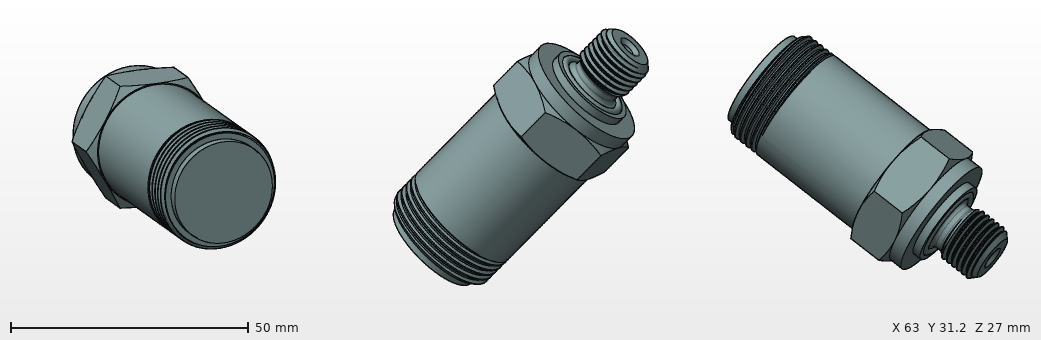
import cadquery as cq
import math


relief_end_x = 9.75
shoulder_x = 12.05
flange_x = 13.9
hex_start_x = 17.0
hex_end_x = 27.1
rear_thread_x = 53.4
plug_x = 61.1
total_length = 63.0

port_major_dia = 13.15
port_root_dia = 11.45
port_pitch = 1.335
port_flank_angle = 27.5
port_root_flat = 0.225
port_groove_x = 1.4
port_tip_dia = 10.0
neck_dia = 11.0
relief_radius = 0.535
neck_fillet = 1.1

bore_dia = 3.3
bore_depth = 12.6
countersink_dia = 5.15

shoulder_dia = 19.0
hex_across_flats = 27.0
flange_dia = hex_across_flats
hex_chamfer_angle = 30.0
housing_dia = 26.5
plug_dia = 22.4

rear_root_dia = 25.15
rear_pitch = 1.5
rear_flank_angle = 30.0
rear_root_flat = 0.4
rear_groove_x = 57.6
rear_chamfer = 0.75

seal_outer_dia = 16.7
seal_protrusion = 0.5
seal_inner_radius = neck_dia / 2 + neck_fillet
seal_tube_radius = (seal_outer_dia / 2 - seal_inner_radius) / 2
seal_ring_radius = seal_inner_radius + seal_tube_radius
seal_center_x = shoulder_x - seal_protrusion + seal_tube_radius

cutter_overrun = 0.05


def rod(start_x, end_x, diameter):
    """Cylinder on the X axis."""
    return cq.Workplane("YZ", origin=(start_x, 0, 0)).circle(diameter / 2).extrude(end_x - start_x)


def groove_turn(pitch, major_dia, root_dia, flank_angle, root_flat):
    """One right-handed turn of thread groove on the X axis, starting at X = 0 on the -Z side."""
    root_radius = root_dia / 2
    outer_radius = major_dia / 2 + cutter_overrun
    root_half = root_flat / 2
    outer_half = root_half + (outer_radius - root_radius) * math.tan(math.radians(flank_angle))
    turn = (
        cq.Workplane("XZ")
        .polyline([
            (root_radius, -root_half),
            (outer_radius, -outer_half),
            (outer_radius, outer_half),
            (root_radius, root_half),
        ])
        .close()
        .sweep(cq.Workplane(cq.Wire.makeHelix(pitch, pitch, root_radius)), isFrenet=True)
    )
    return turn.rotate((0, 0, 0), (0, 1, 0), 90)


def cut_thread(blank, turn, start_x, end_x, groove_x, pitch):
    """Cut end-to-end groove turns that cover start_x to end_x and pass groove_x on the +Z side."""
    lower_groove_x = groove_x + pitch / 2
    first_x = lower_groove_x - pitch * math.ceil((lower_groove_x - start_x) / pitch)
    for index in range(math.ceil((end_x - first_x) / pitch)):
        blank = blank.cut(turn.translate((first_x + index * pitch, 0, 0)), clean=False)
    return blank


def port_stub():
    """Threaded port with tip chamfer, run-out cone, neck and filleted shoulder."""
    major_radius = port_major_dia / 2
    tip_radius = port_tip_dia / 2
    neck_radius = neck_dia / 2
    diagonal = math.sqrt(0.5)
    cone_end_x = relief_end_x - relief_radius * diagonal
    cone_end_radius = neck_radius + relief_radius * (1 - diagonal)
    cone_start_x = cone_end_x - (major_radius - cone_end_radius)
    relief_mid_angle = math.radians(22.5)
    relief_mid = (
        relief_end_x - relief_radius * math.sin(relief_mid_angle),
        neck_radius + relief_radius * (1 - math.cos(relief_mid_angle)),
    )
    fillet_start_x = shoulder_x - neck_fillet
    fillet_mid = (
        fillet_start_x + neck_fillet * diagonal,
        neck_radius + neck_fillet * (1 - diagonal),
    )
    blank = (
        cq.Workplane("XY")
        .moveTo(0, 0)
        .lineTo(0, tip_radius)
        .lineTo(major_radius - tip_radius, major_radius)
        .lineTo(cone_start_x, major_radius)
        .lineTo(cone_end_x, cone_end_radius)
        .threePointArc(relief_mid, (relief_end_x, neck_radius))
        .lineTo(fillet_start_x, neck_radius)
        .threePointArc(fillet_mid, (shoulder_x, neck_radius + neck_fillet))
        .lineTo(shoulder_x, 0)
        .close()
        .revolve(360, (0, 0, 0), (1, 0, 0))
    )
    turn = groove_turn(port_pitch, port_major_dia, port_root_dia, port_flank_angle, port_root_flat)
    return cut_thread(blank, turn, 0, cone_end_x, port_groove_x, port_pitch)


def hexagon():
    """Wrench hexagon with its corners on Y, chamfered at both ends down to the flats."""
    length = hex_end_x - hex_start_x
    across_corners = hex_across_flats / math.cos(math.radians(30))
    prism = cq.Workplane("YZ", origin=(hex_start_x, 0, 0)).polygon(6, across_corners).extrude(length)
    flat_radius = hex_across_flats / 2
    corner_radius = across_corners / 2
    chamfer_length = (corner_radius - flat_radius) * math.tan(math.radians(hex_chamfer_angle))
    envelope = (
        cq.Workplane("XY")
        .polyline([
            (hex_start_x, 0),
            (hex_start_x, flat_radius),
            (hex_start_x + chamfer_length, corner_radius),
            (hex_end_x - chamfer_length, corner_radius),
            (hex_end_x, flat_radius),
            (hex_end_x, 0),
        ])
        .close()
        .revolve(360, (0, 0, 0), (1, 0, 0))
    )
    return prism.intersect(envelope)


def rear_thread():
    """Threaded rear end of the housing, chamfered at its outer end."""
    blank = rod(rear_thread_x, plug_x, housing_dia).faces(">X").chamfer(rear_chamfer)
    turn = groove_turn(rear_pitch, housing_dia, rear_root_dia, rear_flank_angle, rear_root_flat)
    return cut_thread(
        blank, turn, rear_thread_x - rear_pitch, plug_x + rear_pitch / 2, rear_groove_x, rear_pitch
    )


def seal_groove():
    """Square-bottomed face groove that holds the O-ring."""
    floor_x = seal_center_x + seal_tube_radius
    return rod(shoulder_x, floor_x, seal_outer_dia).cut(rod(shoulder_x, floor_x, 2 * seal_inner_radius))


def port_bore():
    """Blind pressure bore with a 45 degree countersink."""
    countersink_depth = (countersink_dia - bore_dia) / 2
    return (
        cq.Workplane("XY")
        .polyline([
            (0, 0),
            (0, countersink_dia / 2),
            (countersink_depth, bore_dia / 2),
            (bore_depth, bore_dia / 2),
            (bore_depth, 0),
        ])
        .close()
        .revolve(360, (0, 0, 0), (1, 0, 0))
    )


def make_housing():
    return (
        port_stub()
        .union(rod(shoulder_x, flange_x, shoulder_dia))
        .union(rod(flange_x, hex_start_x, flange_dia))
        .union(hexagon())
        .union(rod(hex_end_x, rear_thread_x, housing_dia))
        .union(rear_thread())
        .union(rod(plug_x, total_length, plug_dia))
        .cut(seal_groove())
        .cut(port_bore())
    )


def make_seal():
    """O-ring around the X axis."""
    return (
        cq.Workplane("XY")
        .center(seal_center_x, seal_ring_radius)
        .circle(seal_tube_radius)
        .revolve(360, (0, -seal_ring_radius, 0), (1, -seal_ring_radius, 0))
    )


housing = make_housing()
seal = make_seal()

result = cq.Compound.makeCompound([housing.solids().val(), seal.val()])